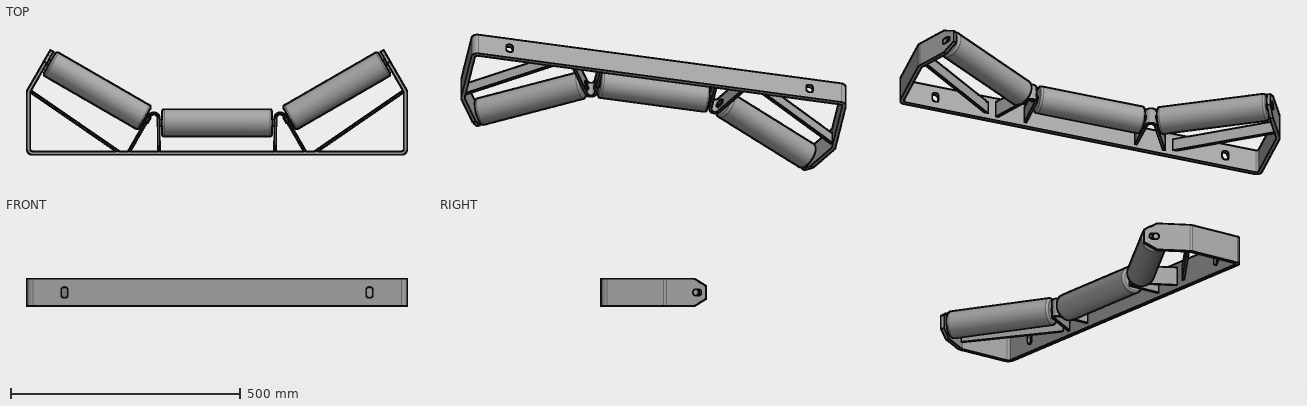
import cadquery as cq
import math


frame_width = 830.0
frame_rise = 229.01
strip_height = 60.0
frame_thickness = 8.0
frame_bend_radius = 13.0
trough_angle = 30.0
arm_length = 100.0
arm_tip_width = 29.0
arm_taper_length = 29.0

mount_slot_spacing = 665.0
mount_slot_width = 15.0
mount_slot_length = 24.0

roller_length = 240.0
roller_diameter = 60.0
roller_edge_radius = 5.0
shaft_diameter = 14.0
shaft_slot_length = 21.0
shaft_gap = 5.0
middle_roller_rise = 70.0
arm_tip_to_shaft = 26.0

bracket_thickness = 5.0
bracket_height = 40.0
bracket_bend_radius = 13.0
bracket_bend_x = 137.8
bracket_top = 93.0
bracket_middle_lean = 0.6
bracket_outer_lean = trough_angle
bracket_shaft_reach = 10.5
slot_overcut = 1.0

brace_thickness = 5.0
brace_height = 30.0
brace_wall_rise = 139.0
brace_foot_x = 216.5

tilt = math.radians(trough_angle)
axis_direction = cq.Vector(math.cos(tilt), -math.sin(tilt), 0)
arm_direction = cq.Vector(math.sin(tilt), math.cos(tilt), 0)

across = cq.Vector(1, 0, 0)
upward = cq.Vector(0, 1, 0)


def direction(angle):
    """Unit vector in the XY plane at an angle from +X."""
    return cq.Vector(math.cos(math.radians(angle)), math.sin(math.radians(angle)), 0)


def bent_strip(start, heading, first_length, bends, centre_radius, thickness, height):
    """Upright strip along a centre line: one straight, then pairs of left turn angle and next straight."""
    point = start + direction(heading) * first_length
    edges = [cq.Edge.makeLine(start, point)]
    angle = heading
    for turn, length in bends:
        bend_centre = point + direction(angle + 90) * centre_radius
        middle = bend_centre + direction(angle + turn / 2 - 90) * centre_radius
        end = bend_centre + direction(angle + turn - 90) * centre_radius
        edges.append(cq.Edge.makeThreePointArc(point, middle, end))
        angle += turn
        point = end + direction(angle) * length
        edges.append(cq.Edge.makeLine(end, point))
    path = cq.Workplane(cq.Wire.assembleEdges(edges))
    section = cq.Plane(origin=start, xDir=direction(heading + 90), normal=direction(heading))
    return cq.Workplane(section).rect(thickness, height).sweep(path)


def mirrored(body):
    """Right-hand copy of a left-hand shape."""
    return body.mirror("YZ")


def shaft_slot(shaft_point, along, up, depth):
    """Slot cutter reaching a depth each way along the shaft, whose rounded lower end fits the shaft."""
    slot_plane = cq.Plane(origin=shaft_point, xDir=up, normal=along)
    slot_centre = (shaft_slot_length - shaft_diameter) / 2
    return (
        cq.Workplane(slot_plane)
        .center(slot_centre, 0)
        .slot2D(shaft_slot_length, shaft_diameter)
        .extrude(depth, both=True)
    )


bend_drop = frame_bend_radius * (1 - math.cos(tilt))
arm_tip = cq.Vector(
    -frame_width / 2 + bend_drop + arm_length * math.sin(tilt), frame_rise, 0
)
wall_length = (
    frame_rise
    - arm_length * math.cos(tilt)
    - frame_bend_radius * math.sin(tilt)
    - frame_bend_radius
)
outer_shaft_end = arm_tip - arm_direction * arm_tip_to_shaft
outer_roller_start = outer_shaft_end + axis_direction * (frame_thickness + shaft_gap)
outer_roller_end = outer_roller_start + axis_direction * roller_length
middle_roller_start = cq.Vector(-roller_length / 2, middle_roller_rise, 0)


def arm_taper():
    """Corner cutters for the left arm tip, drawn on the arm's outer face."""
    arm_face = cq.Plane(origin=arm_tip, xDir=arm_direction, normal=axis_direction)
    cutters = cq.Workplane(arm_face)
    for side in (1, -1):
        cutters = cutters.polyline(
            [
                (-arm_taper_length, side * strip_height / 2),
                (0, side * strip_height / 2),
                (0, side * arm_tip_width / 2),
            ]
        ).close()
    return cutters.extrude(frame_thickness)


def make_frame():
    centre_radius = frame_bend_radius - frame_thickness / 2
    base_length = frame_width - 2 * frame_bend_radius
    frame = bent_strip(
        arm_tip + axis_direction * (frame_thickness / 2),
        -90 - trough_angle,
        arm_length,
        [
            (trough_angle, wall_length),
            (90, base_length),
            (90, wall_length),
            (trough_angle, arm_length),
        ],
        centre_radius,
        frame_thickness,
        strip_height,
    )
    slot = shaft_slot(outer_shaft_end, axis_direction, arm_direction, frame_thickness)
    for cutter in (arm_taper(), slot):
        frame = frame.cut(cutter).cut(mirrored(cutter))
    mount_slots = (
        cq.Workplane("XZ")
        .pushPoints([(-mount_slot_spacing / 2, 0), (mount_slot_spacing / 2, 0)])
        .slot2D(mount_slot_length, mount_slot_width, 90)
        .extrude(-frame_thickness)
    )
    return frame.cut(mount_slots)


def make_brace():
    wall_x = -frame_width / 2 + frame_thickness
    slope = math.atan2(brace_wall_rise - frame_thickness, -brace_foot_x - wall_x)
    half_foot = brace_thickness / 2 / math.sin(slope)
    half_head = brace_thickness / 2 / math.cos(slope)
    return (
        cq.Workplane("XY")
        .polyline(
            [
                (-brace_foot_x - half_foot, frame_thickness),
                (-brace_foot_x + half_foot, frame_thickness),
                (wall_x, brace_wall_rise + half_head),
                (wall_x, brace_wall_rise - half_head),
            ]
        )
        .close()
        .extrude(brace_height / 2, both=True)
    )


def make_bracket():
    centre_radius = bracket_bend_radius - bracket_thickness / 2
    bend_centre = cq.Vector(-bracket_bend_x, bracket_top - bracket_bend_radius, 0)
    leg_length = bracket_top / math.cos(math.radians(bracket_outer_lean))
    heading = 90 + bracket_middle_lean
    bend_start = bend_centre + direction(heading - 90) * centre_radius
    turn = 180 - bracket_middle_lean - bracket_outer_lean
    bracket = bent_strip(
        bend_start - direction(heading) * leg_length,
        heading,
        leg_length,
        [(turn, leg_length)],
        centre_radius,
        bracket_thickness,
        bracket_height,
    )
    below_base = (
        cq.Workplane("XY")
        .box(frame_width, leg_length, strip_height, centered=(True, False, True))
        .translate((0, frame_thickness - leg_length, 0))
    )
    bracket = bracket.cut(below_base)
    slot_depth = bracket_shaft_reach + slot_overcut
    outer_slot = shaft_slot(outer_roller_end, axis_direction, arm_direction, slot_depth)
    middle_slot = shaft_slot(middle_roller_start, across, upward, slot_depth)
    return bracket.cut(outer_slot).cut(middle_slot)


def make_roller(start, along, start_stub, end_stub):
    end_plane = cq.Plane(origin=start, xDir=(0, 0, 1), normal=along)
    drum = (
        cq.Workplane(end_plane)
        .circle(roller_diameter / 2)
        .extrude(roller_length)
        .edges()
        .fillet(roller_edge_radius)
    )
    shaft = (
        cq.Workplane(end_plane)
        .workplane(offset=-start_stub)
        .circle(shaft_diameter / 2)
        .extrude(start_stub + roller_length + end_stub)
    )
    return drum.union(shaft)


frame = make_frame()
left_brace = make_brace().cut(frame)
left_bracket = make_bracket()
outer_roller = make_roller(
    outer_roller_start, axis_direction, frame_thickness + shaft_gap, bracket_shaft_reach
)
middle_roller = make_roller(
    middle_roller_start, across, bracket_shaft_reach, bracket_shaft_reach
)

bodies = [frame.val(), middle_roller.val()]
for left_body in (left_brace, left_bracket, outer_roller):
    bodies.append(left_body.val())
    bodies.append(mirrored(left_body).val())

result = cq.Compound.makeCompound(bodies)